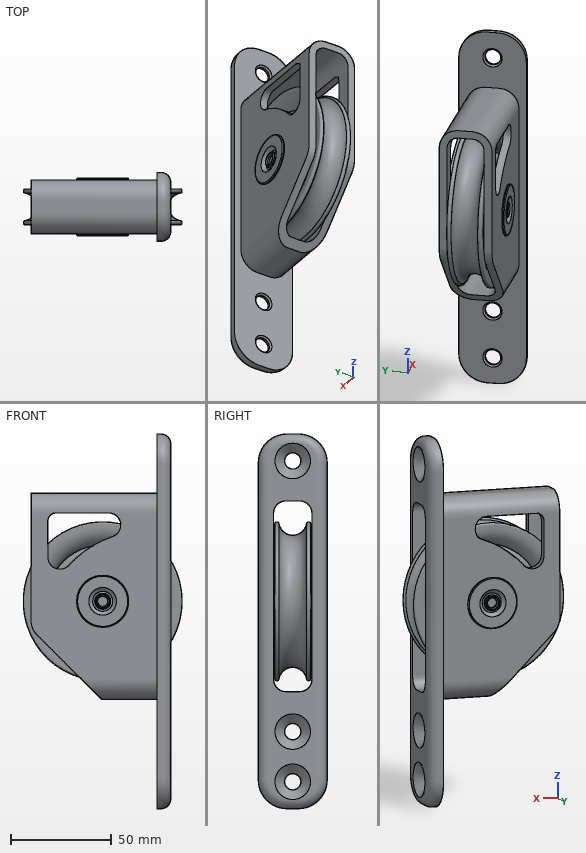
import cadquery as cq
import math


plate_back = 27.0
plate_thickness = 7.0
plate_width = 34.5
plate_length = 187.0
plate_center_z = -10.0
plate_corner_radius = 14.5
plate_edge_fillet = 5.0
screw_hole_diameter = 8.0
screw_hole_mouth_diameter = 9.8
screw_head_diameter = 17.7
screw_hole_offsets = (80.0, -55.0, -80.0)

housing_back = -35.7
housing_top = 54.0
housing_bottom = -49.0
housing_width = 27.0
housing_wall = 4.0
housing_bend_radius = 10.0
slope_bend_radius = 10.0
slope_bottom_x = -0.5

window_left = -27.3
window_right = 9.0
window_foot_z = 16.0
window_corner_radius = 4.0
window_end_radius = 6.0
window_bow_radius = 52.0

wheel_radius = 39.675
wheel_half_width = 9.0
rim_tip_radius = 1.1
groove_bottom_radius = 33.0
groove_radius = 6.9
rim_face_inner_radius = 36.7
rim_curve_radius = 9.0
hub_radius = 28.0
hub_face_outer_radius = 25.4
hub_face_inner_radius = 23.2
hub_half_width = 8.0
hub_end_depth = 0.5

flange_diameter = 26.0
flange_height = 1.0
flange_chamfer = 0.5
recess_mouth_diameter = 13.8
recess_floor_diameter = 10.0
recess_depth = 1.8
axle_diameter = 8.0
axle_chamfer = 0.5
axle_setback = 0.4
socket_diameter = 5.0
socket_mouth_diameter = 6.25
socket_depth = 1.5

plate_front = plate_back + plate_thickness
housing_center_z = (housing_top + housing_bottom) / 2
housing_height = housing_top - housing_bottom
flange_face_y = housing_width / 2 + flange_height
window_top = housing_top - housing_bend_radius


def rounded_bar(width, height, corner_radius, x_start, x_end, center_z):
    """Bar along X with a rounded rectangular section."""
    return (
        cq.Workplane("YZ", origin=(x_start, 0, center_z))
        .rect(width, height)
        .extrude(x_end - x_start)
        .edges("|X")
        .fillet(corner_radius)
    )


def revolve_about_y(profile):
    """Turn a half profile, X being the radius, about the Y axis and add its opposite half."""
    half = profile.close().revolve(360, (0, 0, 0), (0, 1, 0))
    return half.union(half.rotate((0, 0, 0), (1, 0, 0), 180))


def make_plate():
    plate = rounded_bar(
        plate_width, plate_length, plate_corner_radius, plate_back, plate_front, plate_center_z
    )
    plate = plate.faces(">X").edges().fillet(plate_edge_fillet)
    hole_radius = screw_hole_diameter / 2
    mouth_radius = screw_hole_mouth_diameter / 2
    head_radius = screw_head_diameter / 2
    head_depth = head_radius - hole_radius
    mouth_depth = mouth_radius - hole_radius
    for offset in screw_hole_offsets:
        hole = (
            cq.Workplane("XY")
            .moveTo(plate_back, 0)
            .lineTo(plate_back, mouth_radius)
            .lineTo(plate_back + mouth_depth, hole_radius)
            .lineTo(plate_front - head_depth, hole_radius)
            .lineTo(plate_front, head_radius)
            .lineTo(plate_front, 0)
            .close()
            .revolve(360, (0, 0, 0), (1, 0, 0))
        )
        plate = plate.cut(hole.translate((0, 0, plate_center_z + offset)))
    return plate


def make_housing():
    return rounded_bar(
        housing_width, housing_height, housing_bend_radius, housing_back, plate_back, housing_center_z
    )


def make_inner_opening():
    """Space between the housing walls, running out through the plate."""
    return rounded_bar(
        housing_width - 2 * housing_wall,
        housing_height - 2 * housing_wall,
        housing_bend_radius - housing_wall,
        housing_back,
        plate_front,
        housing_center_z,
    )


def make_housing_side_shape():
    """Side outline of the housing, its lower back corner cut at 45 degrees."""
    slope_top_z = housing_bottom + slope_bottom_x - housing_back
    shape = (
        cq.Workplane("XZ")
        .moveTo(housing_back, housing_top)
        .lineTo(housing_back, slope_top_z)
        .lineTo(slope_bottom_x, housing_bottom)
        .lineTo(plate_back, housing_bottom)
        .lineTo(plate_back, housing_top)
        .close()
        .extrude(housing_width / 2, both=True)
    )
    slope_corner = cq.selectors.NearestToPointSelector((housing_back, 0, slope_top_z))
    return shape.edges("|Y").edges(slope_corner).fillet(slope_bend_radius)


def make_window():
    """Window with a lower edge that bows inwards, tangent to both round ends."""
    end_x = window_right - window_end_radius
    end_z = window_top - window_end_radius
    foot_x = window_left + window_end_radius
    foot_z = window_foot_z + window_end_radius

    center_distance = window_bow_radius + window_end_radius
    half_span = math.hypot(end_x - foot_x, end_z - foot_z) / 2
    tilt = math.atan2(end_z - foot_z, end_x - foot_x)
    drop = math.sqrt(center_distance**2 - half_span**2)
    bow_x = (end_x + foot_x) / 2 + drop * math.sin(tilt)
    bow_z = (end_z + foot_z) / 2 - drop * math.cos(tilt)
    end_angle = math.atan2(end_z - bow_z, end_x - bow_x)
    foot_angle = math.atan2(foot_z - bow_z, foot_x - bow_x)
    middle_angle = (end_angle + foot_angle) / 2

    def on_bow(angle):
        return (bow_x + window_bow_radius * math.cos(angle), bow_z + window_bow_radius * math.sin(angle))

    diagonal = math.sqrt(0.5)
    corner_inset = window_corner_radius * (1 - diagonal)
    return (
        cq.Workplane("XZ")
        .moveTo(window_left + window_corner_radius, window_top)
        .lineTo(end_x, window_top)
        .threePointArc((window_right, end_z), on_bow(end_angle))
        .threePointArc(on_bow(middle_angle), on_bow(foot_angle))
        .threePointArc(
            (foot_x - window_end_radius * diagonal, foot_z - window_end_radius * diagonal),
            (window_left, foot_z),
        )
        .lineTo(window_left, window_top - window_corner_radius)
        .threePointArc(
            (window_left + corner_inset, window_top - corner_inset),
            (window_left + window_corner_radius, window_top),
        )
        .close()
        .extrude(housing_width, both=True)
    )


def make_wheel():
    """Grooved wheel: round rim tips, sides hollowed by a curve, round-edged hub with sunk ends."""
    tip_base = wheel_radius - rim_tip_radius
    tip_y = wheel_half_width - rim_tip_radius
    groove_edge_y = tip_y - rim_tip_radius
    groove_center = groove_bottom_radius + groove_radius
    curve_reach = rim_face_inner_radius - hub_radius
    web_y = wheel_half_width - rim_curve_radius + math.sqrt(rim_curve_radius**2 - curve_reach**2)
    hub_edge_radius = hub_radius - hub_face_outer_radius
    hub_end_y = hub_half_width - hub_end_depth
    bore_radius = axle_diameter / 2
    blank = revolve_about_y(
        cq.Workplane("XY")
        .moveTo(bore_radius, 0)
        .lineTo(bore_radius, hub_end_y)
        .lineTo(hub_face_inner_radius, hub_end_y)
        .lineTo(hub_face_inner_radius, hub_half_width)
        .lineTo(hub_face_outer_radius, hub_half_width)
        .radiusArc((hub_radius, hub_half_width - hub_edge_radius), hub_edge_radius)
        .lineTo(hub_radius, web_y)
        .radiusArc((rim_face_inner_radius, wheel_half_width), rim_curve_radius)
        .lineTo(tip_base, wheel_half_width)
        .threePointArc((wheel_radius, tip_y), (tip_base, groove_edge_y))
        .lineTo(tip_base, 0)
    )
    groove = cq.Workplane("XY").moveTo(groove_center, 0).circle(groove_radius)
    return blank.cut(groove.revolve(360, (0, 0, 0), (0, 1, 0)))


def make_axle():
    """Axle with a flange and a coned recess at each end."""
    axle_end_y = flange_face_y - axle_setback
    axle_radius = axle_diameter / 2
    flange_radius = flange_diameter / 2
    socket_radius = socket_diameter / 2
    socket_mouth_radius = socket_mouth_diameter / 2
    socket_chamfer = socket_mouth_radius - socket_radius
    return revolve_about_y(
        cq.Workplane("XY")
        .lineTo(0, axle_end_y - socket_depth)
        .lineTo(socket_radius, axle_end_y - socket_depth)
        .lineTo(socket_radius, axle_end_y - socket_chamfer)
        .lineTo(socket_mouth_radius, axle_end_y)
        .lineTo(axle_radius - axle_chamfer, axle_end_y)
        .lineTo(axle_radius, axle_end_y - axle_chamfer)
        .lineTo(axle_radius, flange_face_y - recess_depth)
        .lineTo(recess_floor_diameter / 2, flange_face_y - recess_depth)
        .lineTo(recess_mouth_diameter / 2, flange_face_y)
        .lineTo(flange_radius - flange_chamfer, flange_face_y)
        .lineTo(flange_radius, flange_face_y - flange_chamfer)
        .lineTo(flange_radius, housing_width / 2 - housing_wall)
        .lineTo(axle_radius, housing_width / 2 - housing_wall)
        .lineTo(axle_radius, 0)
    )


def make_flange_seat():
    """Bore through both housing walls that takes the axle flanges."""
    return cq.Workplane("XZ").circle(flange_diameter / 2).extrude(housing_width / 2, both=True)


housing = make_housing().intersect(make_housing_side_shape()).cut(make_window())
frame = make_plate().union(housing).cut(make_inner_opening()).cut(make_flange_seat())
result = frame.union(make_axle()).union(make_wheel())